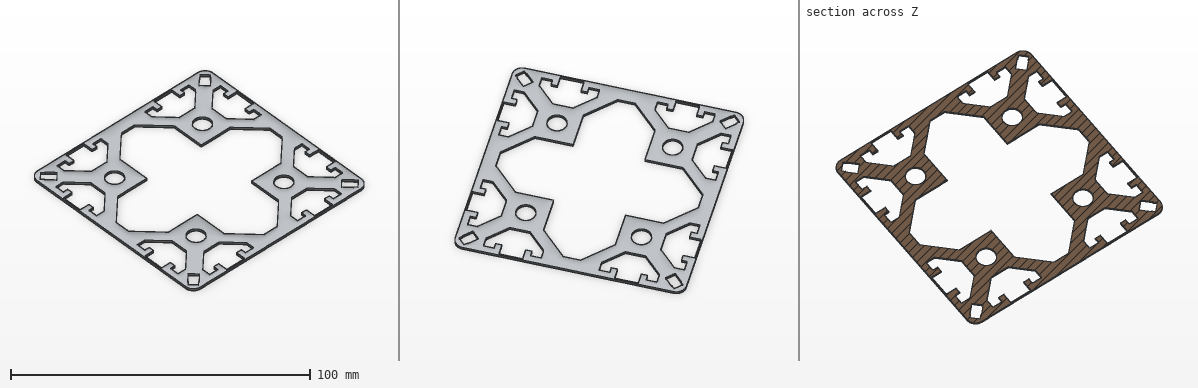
import cadquery as cq
import math


SIDE = 80.0
THICKNESS = 1.0
CORNER_RADIUS = 3.5

CELL = SIDE / 2
HALF_SIDE = SIDE / 2
HOLE_OFFSET = CELL / 2
HOLE_DIAMETER = 6.8
CORE_HALF_WIDTH = 7.6

SKIN = 0.5
LIP_TOP_DEPTH = 2.5
LIP_BOTTOM_DEPTH = 4.5
SLOT_FLOOR_DEPTH = HOLE_OFFSET - CORE_HALF_WIDTH
MOUTH_HALF_WIDTH = 4.1
LIP_HALF_WIDTH = 6.3
SLOT_HALF_WIDTH = 10.0
SLOT_FLOOR_HALF_WIDTH = 3.5
SLOT_SHOULDER_DEPTH = SLOT_FLOOR_DEPTH - (SLOT_HALF_WIDTH - SLOT_FLOOR_HALF_WIDTH)

CROSS_REACH = 35.0
CROSS_TIP_HALF_WIDTH = 3.0
CROSS_HALF_WIDTH = HOLE_OFFSET - CORE_HALF_WIDTH
CROSS_SHOULDER = CROSS_REACH - (CROSS_HALF_WIDTH - CROSS_TIP_HALF_WIDTH)

CORNER_OUTER = 3.5
CORNER_STEP = 4.9
CORNER_INNER = 9.0
CORNER_NARROW_WIDTH = 3.4
CORNER_WIDE_WIDTH = 3.8

SIDE_COUNT = 4
QUARTER_TURN = 360 / SIDE_COUNT


def make_plate():
    plate = cq.Workplane("XY").box(SIDE, SIDE, THICKNESS, centered=(True, True, False))
    return plate.edges("|Z").fillet(CORNER_RADIUS)


def prism(points):
    return cq.Workplane("XY").polyline(points).close().extrude(THICKNESS)


def turned(shape, angle):
    """The shape rotated by an angle in degrees about the plate centre."""
    return shape.rotate((0, 0, 0), (0, 0, 1), angle)


def edge_slot(center_x):
    """T-slot opening along the +Y edge, symmetric about x = center_x."""
    right_half = [
        (MOUTH_HALF_WIDTH, SKIN),
        (MOUTH_HALF_WIDTH, LIP_BOTTOM_DEPTH),
        (LIP_HALF_WIDTH, LIP_BOTTOM_DEPTH),
        (LIP_HALF_WIDTH, LIP_TOP_DEPTH),
        (SLOT_HALF_WIDTH, LIP_TOP_DEPTH),
        (SLOT_HALF_WIDTH, SLOT_SHOULDER_DEPTH),
        (SLOT_FLOOR_HALF_WIDTH, SLOT_FLOOR_DEPTH),
    ]
    right = [(center_x + x, HALF_SIDE - depth) for x, depth in right_half]
    left = [(center_x - x, HALF_SIDE - depth) for x, depth in reversed(right_half)]
    return prism(right + left)


def cross_opening():
    """One bar of the cross along Y, joined to the same bar along X."""
    upper = [
        (CROSS_HALF_WIDTH, CROSS_SHOULDER),
        (CROSS_TIP_HALF_WIDTH, CROSS_REACH),
        (-CROSS_TIP_HALF_WIDTH, CROSS_REACH),
        (-CROSS_HALF_WIDTH, CROSS_SHOULDER),
    ]
    lower = [(-x, -y) for x, y in upper]
    bar = prism(upper + lower)
    return bar.union(turned(bar, QUARTER_TURN))


def corner_opening():
    """Stepped rectangle on one diagonal, narrower toward the plate corner."""
    corner_distance = HALF_SIDE * math.sqrt(2)
    narrow = CORNER_NARROW_WIDTH / 2
    wide = CORNER_WIDE_WIDTH / 2
    outer = corner_distance - CORNER_OUTER
    step = corner_distance - CORNER_STEP
    inner = corner_distance - CORNER_INNER
    upper = [(inner, wide), (step, wide), (step, narrow), (outer, narrow)]
    lower = [(x, -y) for x, y in reversed(upper)]
    return turned(prism(upper + lower), QUARTER_TURN / 2)


def core_hole():
    return cq.Workplane("XY").center(HOLE_OFFSET, HOLE_OFFSET).circle(HOLE_DIAMETER / 2).extrude(THICKNESS)


result = make_plate().cut(cross_opening())
for cutter in (edge_slot(-HOLE_OFFSET), edge_slot(HOLE_OFFSET), corner_opening(), core_hole()):
    for turn in range(SIDE_COUNT):
        result = result.cut(turned(cutter, turn * QUARTER_TURN))